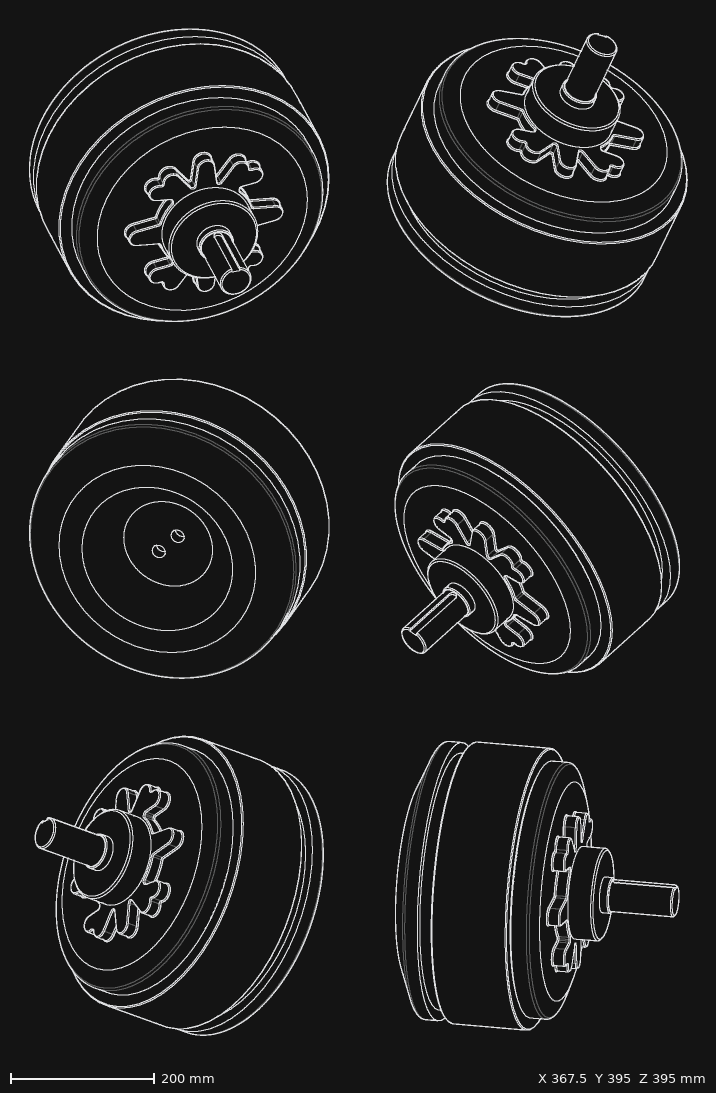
import cadquery as cq
import math


nose_end = 23.5
disc_end = 44.0
neck_end = 61.5
drum_start = 64.0
drum_end = 172.2
flange_start = 174.5
flange_cone_start = 199.5
flange_end = 209.5
spider_end = 228.5
hub_end = 264.0
boss_end = 276.5
shaft_end = 367.5

nose_radius = 143.8
disc_radius = 390.0 / 2
neck_radius = 360.0 / 2
gap_radius = 350.0 / 2
drum_radius = 395 / 2
flange_face_radius = 153.5
hub_radius = 130.0 / 2
boss_radius = 50.0 / 2
shaft_radius = 45.0 / 2

selection_margin = 0.2
rim_fillet = 4.0
drum_chamfer = 1.5
hub_chamfer = 2.8
boss_chamfer = 1.5
shaft_chamfer = 2.0

dish_mouth_radius = 110.2
dish_floor_radius = 130.0 / 2
dish_depth = 50.0
drill_diameter = 19.0
drill_depth = 19.8
drill_tip_angle = 118
drill_offset = 14.0

core_radius = 69.5
lobe_circle_radius = 100.0
lobe_radius = 12.5
arm_taper = 7.0
radial_arm_angles = (0, 60, 90, 120, 180, 240, 270, 300)
side_lobe_angle = 45
side_web_angle = 52
side_flank_angle = -83
neighbour_angle = 60
valley_radius = 3.0
bevel_length = 2.0
bevel_inset = 1.0
foot_length = 2.5

key_width = 12.0
key_depth = 4.7
key_start = 277.5


def polar(radius, angle):
    """Point at an angle in degrees, measured from +Y towards +Z."""
    turn = math.radians(angle)
    return (radius * math.cos(turn), radius * math.sin(turn))


def moved(point, radius, angle):
    """Point at a polar offset from another point."""
    step = polar(radius, angle)
    return (point[0] + step[0], point[1] + step[1])


def plane_at(x):
    return cq.Workplane("YZ", origin=(x, 0, 0))


def turned_body():
    profile = [
        (0, 0),
        (0, nose_radius),
        (nose_end, disc_radius),
        (disc_end, disc_radius),
        (disc_end, neck_radius),
        (neck_end, neck_radius),
        (neck_end, gap_radius),
        (drum_start, gap_radius),
        (drum_start, drum_radius - drum_chamfer),
        (drum_start + drum_chamfer, drum_radius),
        (drum_end - drum_chamfer, drum_radius),
        (drum_end, drum_radius - drum_chamfer),
        (drum_end, gap_radius),
        (flange_start, gap_radius),
        (flange_start, neck_radius),
        (flange_cone_start, neck_radius),
        (flange_end, flange_face_radius),
        (flange_end, hub_radius),
        (hub_end - hub_chamfer, hub_radius),
        (hub_end, hub_radius - hub_chamfer),
        (hub_end, boss_radius),
        (boss_end - boss_chamfer, boss_radius),
        (boss_end, boss_radius - boss_chamfer),
        (boss_end, shaft_radius),
        (shaft_end - shaft_chamfer, shaft_radius),
        (shaft_end, shaft_radius - shaft_chamfer),
        (shaft_end, 0),
    ]
    body = cq.Workplane("XY").polyline(profile).close().revolve(360, (0, 0, 0), (1, 0, 0))
    for x, radius in ((nose_end, disc_radius), (flange_cone_start, neck_radius)):
        reach = radius + selection_margin
        corner = cq.selectors.BoxSelector(
            (x - selection_margin, -reach, -reach),
            (x + selection_margin, reach, reach),
            boundingbox=True,
        )
        body = body.edges(corner).fillet(rim_fillet)
    return body


def dish():
    profile = [(0, 0), (0, dish_mouth_radius), (dish_depth, dish_floor_radius), (dish_depth, 0)]
    return cq.Workplane("XY").polyline(profile).close().revolve(360, (0, 0, 0), (1, 0, 0))


def drilled_hole(y, z):
    radius = drill_diameter / 2
    tip = radius / math.tan(math.radians(drill_tip_angle / 2))
    profile = [(0, 0), (0, radius), (drill_depth, radius), (drill_depth + tip, 0)]
    hole = cq.Workplane("XY").polyline(profile).close().revolve(360, (0, 0, 0), (1, 0, 0))
    return hole.translate((dish_depth, y, z))


def radial_arm(x, length, angle):
    """Lobe and the two flanks that touch it and spread towards the axis."""
    lobe = polar(lobe_circle_radius, angle)
    spread = 90 - arm_taper
    tip_one = moved(lobe, lobe_radius, angle - spread)
    tip_two = moved(lobe, lobe_radius, angle + spread)
    flank_length = lobe_circle_radius - core_radius / 2
    root_one = moved(tip_one, flank_length, angle + 180 + arm_taper)
    root_two = moved(tip_two, flank_length, angle + 180 - arm_taper)
    web = plane_at(x).polyline([root_one, tip_one, tip_two, root_two]).close().extrude(length)
    return web.union(plane_at(x).center(*lobe).circle(lobe_radius).extrude(length))


def side_lobe(x, length):
    """Extra lobe that leans on the neighbouring radial arm."""
    lobe = polar(lobe_circle_radius, side_lobe_angle)
    web_points = [
        lobe,
        moved(lobe, lobe_radius, side_flank_angle),
        polar(core_radius, side_web_angle),
        polar(core_radius / 2, neighbour_angle),
        polar(lobe_circle_radius, neighbour_angle),
    ]
    web = plane_at(x).polyline(web_points).close().extrude(length)
    return web.union(plane_at(x).center(*lobe).circle(lobe_radius).extrude(length))


def bevelled_plate(outline, length):
    """Plate raised from an outline towards +X, with its far rim bevelled."""
    plate = cq.Workplane("YZ").add(cq.Solid.extrudeLinear(outline, [], cq.Vector(length, 0, 0)))
    return plate.faces(">X").chamfer(bevel_length, bevel_inset)


def spider():
    length = spider_end - flange_end
    blank = plane_at(flange_end).circle(core_radius).extrude(length)
    for angle in radial_arm_angles:
        blank = blank.union(radial_arm(flange_end, length, angle))
    side = side_lobe(flange_end, length)
    sides = side.union(side.mirror("XY"))
    blank = blank.union(sides).union(sides.mirror("XZ")).clean()

    outline = blank.faces(">X").wires().val()
    rounded = outline.offset2D(valley_radius)[0].offset2D(-valley_radius)[0]
    plate = bevelled_plate(rounded.translate(cq.Vector(-length, 0, 0)), length)
    foot_outline = rounded.offset2D(bevel_inset)[0].translate(cq.Vector(-length, 0, 0))
    return plate.union(bevelled_plate(foot_outline, foot_length))


def keyway():
    radius = key_width / 2
    floor = cq.Workplane("XY", origin=(0, 0, shaft_radius - key_depth))
    return (
        floor.moveTo(shaft_end, -radius)
        .lineTo(key_start + radius, -radius)
        .threePointArc((key_start, 0), (key_start + radius, radius))
        .lineTo(shaft_end, radius)
        .close()
        .extrude(shaft_radius)
    )


result = turned_body().cut(dish())
for side in (1, -1):
    result = result.cut(drilled_hole(-side * drill_offset, side * drill_offset))
result = result.union(spider()).cut(keyway())